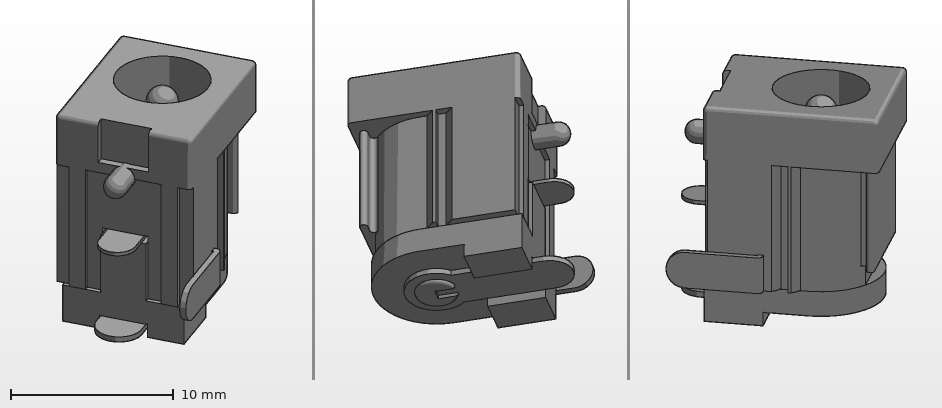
import cadquery as cq
import math


HEAD_BOTTOM = -3.5
TOWER_BOTTOM = -11.87
CAP_BOTTOM = -13.5
FOOT_BOTTOM = -14.4

HEAD_WIDTH = 9.0
HEAD_LENGTH = 11.0
HEAD_HALF = HEAD_WIDTH / 2
BACK_Y = HEAD_HALF
FRONT_Y = BACK_Y - HEAD_LENGTH
HEAD_FILLET = 0.3
SOCKET_RADIUS = 3.0
NOTCH_WIDTH = 3.31
NOTCH_HEIGHT = 2.8
NOTCH_DEPTH = 0.5

TOWER_RADIUS = 4.0
TOWER_FLAT_Y = 3.25
FLANK_STEP = HEAD_HALF - TOWER_RADIUS
FLANK_FRONT_Y = -2.19
RIB_CREST_BACK_Y = -0.96
RIB_FRONT_Y = -1.17
FACE_RECESS = 0.3
STRIP_INNER_X = 2.5
STRIP_OUTER_X = 3.59

PLATE_THICKNESS = 0.5
PLATE_HALF_WIDTH = 3.5
PLATE_BOTTOM = -10.53
PLATE_EDGE_RADIUS = PLATE_THICKNESS / 2
GROOVE_X = 2.76
GROOVE_END_ANGLE = math.radians(60)

PEG_RADIUS = 0.75
PEG_LENGTH = 2.0

FOOT_BACK_Y = -2.82
FOOT_SLOT_WIDTH = 3.17
TONGUE_WIDTH = 3.0
TONGUE_TOP = -7.86
TONGUE_BACK_Y = -5.0
TONGUE_SLOT_TOP = -7.5

PIN_RADIUS = 1.0
PIN_TIP = -0.52
COLLAR_RADIUS = 1.5
RIVET_RADIUS = 1.35
RIVET_HEIGHT = 0.25
RIVET_FILLET = 0.23
RIVET_SLOT_WIDTH = 0.8
PIN_BLADE_THICKNESS = 0.36
PIN_BLADE_WIDTH = 3.0
PIN_EYE_RADIUS = 2.0

TERMINAL_TIP_Y = -8.7
SPRING_TOP = -7.59
SPRING_THICKNESS = 0.25
SPRING_WIDTH = 2.42
SIDE_TERMINAL_THICKNESS = 0.4
SIDE_TERMINAL_BEND_RADIUS = 0.35
SIDE_TERMINAL_TOP = -9.5
SIDE_TERMINAL_BACK_Y = -2.7
SIDE_TERMINAL_OUTER_X = 5.0
SIDE_TERMINAL_INNER_X = 3.5


def block(x_min, x_max, y_min, y_max, z_min, z_max):
    """Box between the given limits."""
    size = (x_max - x_min, y_max - y_min, z_max - z_min)
    return cq.Workplane("XY").box(*size, centered=False).translate((x_min, y_min, z_min))


def cylinder(radius, z_min, z_max):
    """Upright cylinder on the socket axis."""
    return cq.Workplane("XY").workplane(offset=z_min).circle(radius).extrude(z_max - z_min)


def mirrored(shape):
    """Shape together with its mirror image across the YZ plane."""
    return shape.union(shape.mirror("YZ"))


def round_ended_blade(width, inner_y, z_min, thickness):
    """Flat blade along -Y that ends in a half circle at the common terminal tip."""
    radius = width / 2
    arc_start_y = TERMINAL_TIP_Y + radius
    return (
        cq.Workplane("XY").workplane(offset=z_min)
        .moveTo(radius, inner_y)
        .lineTo(radius, arc_start_y)
        .threePointArc((0, TERMINAL_TIP_Y), (-radius, arc_start_y))
        .lineTo(-radius, inner_y)
        .close()
        .extrude(thickness)
    )


def make_head():
    head = block(-HEAD_HALF, HEAD_HALF, FRONT_Y, BACK_Y, HEAD_BOTTOM, 0)
    head = head.edges("|Z or >Z").fillet(HEAD_FILLET)
    notch = block(-NOTCH_WIDTH / 2, NOTCH_WIDTH / 2, FRONT_Y, FRONT_Y + NOTCH_DEPTH, -NOTCH_HEIGHT, 0)
    return head.cut(notch)


def make_tower():
    height = HEAD_BOTTOM - TOWER_BOTTOM
    recessed_y = FRONT_Y + FACE_RECESS
    round_back = cylinder(TOWER_RADIUS, TOWER_BOTTOM, HEAD_BOTTOM)
    behind_flat = block(-HEAD_HALF, HEAD_HALF, TOWER_FLAT_Y, BACK_Y, TOWER_BOTTOM, HEAD_BOTTOM)
    tower = round_back.cut(behind_flat)
    half_front = (
        cq.Workplane("XY").workplane(offset=TOWER_BOTTOM)
        .polyline([
            (0, 0),
            (TOWER_RADIUS, 0),
            (TOWER_RADIUS, RIB_CREST_BACK_Y + FLANK_STEP),
            (HEAD_HALF, RIB_CREST_BACK_Y),
            (HEAD_HALF, RIB_FRONT_Y),
            (TOWER_RADIUS, RIB_FRONT_Y),
            (TOWER_RADIUS, FLANK_FRONT_Y + FLANK_STEP),
            (HEAD_HALF, FLANK_FRONT_Y),
            (HEAD_HALF, recessed_y),
            (STRIP_OUTER_X, recessed_y),
            (STRIP_OUTER_X, FRONT_Y),
            (STRIP_INNER_X, FRONT_Y),
            (STRIP_INNER_X, recessed_y),
            (0, recessed_y),
        ])
        .close()
        .extrude(height)
    )
    return tower.union(mirrored(half_front))


def make_guide_plate():
    """Rear plate with round edges, undercut by a round groove where it meets the tower."""
    back_y = TOWER_RADIUS
    inner_y = back_y - PLATE_THICKNESS
    edge_x = PLATE_HALF_WIDTH - PLATE_EDGE_RADIUS
    edge_y = back_y - PLATE_EDGE_RADIUS
    groove_y = inner_y - PLATE_EDGE_RADIUS
    groove_end_x = GROOVE_X - PLATE_EDGE_RADIUS * math.cos(GROOVE_END_ANGLE)
    groove_end_y = groove_y - PLATE_EDGE_RADIUS * math.sin(GROOVE_END_ANGLE)
    half_plate = (
        cq.Workplane("XY").workplane(offset=PLATE_BOTTOM)
        .moveTo(0, back_y)
        .lineTo(edge_x, back_y)
        .threePointArc((PLATE_HALF_WIDTH, edge_y), (edge_x, inner_y))
        .lineTo(GROOVE_X, inner_y)
        .threePointArc((GROOVE_X - PLATE_EDGE_RADIUS, groove_y), (groove_end_x, groove_end_y))
        .lineTo(0, groove_end_y)
        .close()
        .extrude(HEAD_BOTTOM - PLATE_BOTTOM)
    )
    return mirrored(half_plate)


def make_peg():
    """Round-tipped locating peg, level with the head's lower edge and rooted behind the notch."""
    root_y = FRONT_Y + NOTCH_DEPTH
    length = PEG_LENGTH + NOTCH_DEPTH
    peg = cq.Workplane("XZ", origin=(0, root_y, HEAD_BOTTOM)).circle(PEG_RADIUS).extrude(length - PEG_RADIUS)
    tip = cq.Workplane("XY").sphere(PEG_RADIUS).translate((0, root_y - length + PEG_RADIUS, HEAD_BOTTOM))
    return peg.union(tip)


def make_housing(side_terminal):
    """Complete housing, open at the bottom, with a seat for the side terminal's leg."""
    housing = make_tower().union(make_head()).union(make_guide_plate()).union(make_peg())
    socket = cylinder(SOCKET_RADIUS, TOWER_BOTTOM, 0)
    half_slot = TONGUE_WIDTH / 2
    tongue_slot = block(-half_slot, half_slot, FRONT_Y, TONGUE_BACK_Y, TOWER_BOTTOM, TONGUE_SLOT_TOP)
    return housing.cut(socket).cut(tongue_slot).cut(side_terminal)


def make_cap(pin_contact):
    """Round-backed cap that closes the socket, with a slotted front foot and a tongue into the housing."""
    plate = cylinder(TOWER_RADIUS, CAP_BOTTOM, TOWER_BOTTOM)
    plate = plate.union(block(-TOWER_RADIUS, TOWER_RADIUS, FRONT_Y, 0, CAP_BOTTOM, TOWER_BOTTOM))
    foot = block(-TOWER_RADIUS, TOWER_RADIUS, FRONT_Y, FOOT_BACK_Y, FOOT_BOTTOM, CAP_BOTTOM)
    half_slot = FOOT_SLOT_WIDTH / 2
    foot_slot = block(-half_slot, half_slot, FRONT_Y, FOOT_BACK_Y, FOOT_BOTTOM, CAP_BOTTOM)
    half_tongue = TONGUE_WIDTH / 2
    tongue = block(-half_tongue, half_tongue, FRONT_Y, TONGUE_BACK_Y, TOWER_BOTTOM, TONGUE_TOP)
    return plate.union(foot.cut(foot_slot)).union(tongue).cut(pin_contact)


def make_pin_contact():
    """Domed pin with a collar set in the cap, and an eye, blade and slotted rivet head below the cap."""
    blade_bottom = CAP_BOTTOM - PIN_BLADE_THICKNESS
    rivet_bottom = blade_bottom - RIVET_HEIGHT
    dome_z = PIN_TIP - PIN_RADIUS
    shank = cylinder(PIN_RADIUS, TOWER_BOTTOM, dome_z)
    dome = cq.Workplane("XY").sphere(PIN_RADIUS).translate((0, 0, dome_z))
    collar = cylinder(COLLAR_RADIUS, CAP_BOTTOM, TOWER_BOTTOM)
    eye = cylinder(PIN_EYE_RADIUS, blade_bottom, CAP_BOTTOM)
    blade = round_ended_blade(PIN_BLADE_WIDTH, 0, blade_bottom, PIN_BLADE_THICKNESS)
    rivet = cylinder(RIVET_RADIUS, rivet_bottom, blade_bottom).faces("<Z").edges().fillet(RIVET_FILLET)
    half_slot = RIVET_SLOT_WIDTH / 2
    rivet_slot = block(-half_slot, half_slot, -RIVET_RADIUS, 0, rivet_bottom, blade_bottom)
    return shank.union(dome).union(collar).union(eye).union(blade).union(rivet.cut(rivet_slot))


def make_spring_terminal():
    """Plain blade lying in the housing slot above the cap's tongue."""
    bottom = SPRING_TOP - SPRING_THICKNESS
    return round_ended_blade(SPRING_WIDTH, TONGUE_BACK_Y, bottom, SPRING_THICKNESS)


def make_side_terminal():
    """Upright blade along the +X flank, bent at the back into a leg that enters the housing."""
    inner_face_x = SIDE_TERMINAL_OUTER_X - SIDE_TERMINAL_THICKNESS
    radius = (SIDE_TERMINAL_TOP - TOWER_BOTTOM) / 2
    mid_z = TOWER_BOTTOM + radius
    arc_start_y = TERMINAL_TIP_Y + radius
    blade = (
        cq.Workplane("YZ").workplane(offset=inner_face_x)
        .moveTo(SIDE_TERMINAL_BACK_Y, TOWER_BOTTOM)
        .lineTo(arc_start_y, TOWER_BOTTOM)
        .threePointArc((TERMINAL_TIP_Y, mid_z), (arc_start_y, SIDE_TERMINAL_TOP))
        .lineTo(SIDE_TERMINAL_BACK_Y, SIDE_TERMINAL_TOP)
        .close()
        .extrude(SIDE_TERMINAL_THICKNESS)
    )
    leg_front_y = SIDE_TERMINAL_BACK_Y - SIDE_TERMINAL_THICKNESS
    leg = block(SIDE_TERMINAL_INNER_X, SIDE_TERMINAL_OUTER_X, leg_front_y, SIDE_TERMINAL_BACK_Y,
                TOWER_BOTTOM, SIDE_TERMINAL_TOP)
    bend = cq.selectors.NearestToPointSelector((SIDE_TERMINAL_OUTER_X, SIDE_TERMINAL_BACK_Y, mid_z))
    return blade.union(leg).edges(bend).fillet(SIDE_TERMINAL_BEND_RADIUS)


pin_contact = make_pin_contact()
spring_terminal = make_spring_terminal()
side_terminal = make_side_terminal()
cap = make_cap(pin_contact)
housing = make_housing(side_terminal)

result = cq.Compound.makeCompound([
    housing.solids().val(),
    cap.solids().val(),
    pin_contact.solids().val(),
    spring_terminal.solids().val(),
    side_terminal.solids().val(),
])